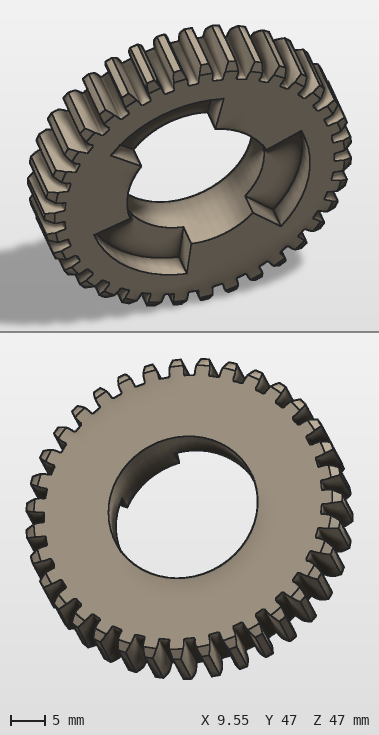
import cadquery as cq
import math


TOOTH_COUNT = 35
TIP_RADIUS = 23.5
PRESSURE_ANGLE = math.radians(14.5)
DEDENDUM_FACTOR = 1.25
ROOT_FILLET = 0.3
FLANK_POINTS = 6

MODULE = 2 * TIP_RADIUS / (TOOTH_COUNT + 2)
PITCH_RADIUS = MODULE * TOOTH_COUNT / 2
BASE_RADIUS = PITCH_RADIUS * math.cos(PRESSURE_ANGLE)
ROOT_RADIUS = PITCH_RADIUS - DEDENDUM_FACTOR * MODULE
CUTTER_RADIUS = TIP_RADIUS + 0.45

FACE_WIDTH = 9.55
BORE_RADIUS = 11.1
CHAMFER_WIDTH = 0.75
CHAMFER_ANGLE = math.radians(60)
CHAMFER_HEIGHT = CHAMFER_WIDTH * math.tan(CHAMFER_ANGLE)

POCKET_COUNT = 3
POCKET_DEPTH = 3.75
POCKET_OUTER_RADIUS = 16.9
JAW_ANGLE = 54.0
JAW_START = -96.6
POCKET_ANGLE = 360 / POCKET_COUNT - JAW_ANGLE
FIRST_POCKET_CENTRE = JAW_START + JAW_ANGLE + POCKET_ANGLE / 2


def polar(radius, angle):
    """Point in the YZ plane, with the angle in radians from +Y towards +Z."""
    return radius * math.cos(angle), radius * math.sin(angle)


def involute(angle):
    return math.tan(angle) - angle


def half_gap_angle(radius):
    """Half the angle spanned by a tooth gap at a radius on the involute."""
    roll = involute(math.acos(BASE_RADIUS / radius)) - involute(PRESSURE_ANGLE)
    return math.pi / (2 * TOOTH_COUNT) + roll


def make_blank():
    """Bored disc with both outer rims chamfered."""
    half = FACE_WIDTH / 2
    profile = (
        cq.Workplane("XY")
        .moveTo(-half, BORE_RADIUS)
        .lineTo(-half, TIP_RADIUS - CHAMFER_HEIGHT)
        .lineTo(-half + CHAMFER_WIDTH, TIP_RADIUS)
        .lineTo(half - CHAMFER_WIDTH, TIP_RADIUS)
        .lineTo(half, TIP_RADIUS - CHAMFER_HEIGHT)
        .lineTo(half, BORE_RADIUS)
        .close()
    )
    return profile.revolve(360, (0, 0, 0), (1, 0, 0))


def make_gap_cutter():
    """Tooth gap centred on +Y: involute flanks carried on inward to the filleted root."""
    flank_step = (CUTTER_RADIUS - BASE_RADIUS) / (FLANK_POINTS - 1)
    radii = [BASE_RADIUS + i * flank_step for i in range(FLANK_POINTS)]
    root_angle = half_gap_angle(BASE_RADIUS)
    root_corner = polar(ROOT_RADIUS, root_angle)
    opposite_root_corner = polar(ROOT_RADIUS, -root_angle)
    flank = [polar(r, half_gap_angle(r)) for r in radii]
    opposite_flank = [polar(r, -half_gap_angle(r)) for r in reversed(radii)]
    gap = (
        cq.Workplane("YZ", origin=(-FACE_WIDTH / 2, 0, 0))
        .moveTo(*opposite_root_corner)
        .threePointArc((ROOT_RADIUS, 0), root_corner)
        .spline(flank, includeCurrent=True)
        .threePointArc((CUTTER_RADIUS, 0), opposite_flank[0])
        .spline(opposite_flank[1:] + [opposite_root_corner], includeCurrent=True)
        .close()
        .extrude(FACE_WIDTH)
    )
    return gap.edges("|X").edges("<Y").fillet(ROOT_FILLET)


def make_pocket_cutter():
    """Sector centred on +Y, as deep as a pocket and reaching inward past the bore."""
    half = math.radians(POCKET_ANGLE / 2)
    return (
        cq.Workplane("YZ", origin=(FACE_WIDTH / 2 - POCKET_DEPTH, 0, 0))
        .lineTo(*polar(POCKET_OUTER_RADIUS, -half))
        .threePointArc((POCKET_OUTER_RADIUS, 0), polar(POCKET_OUTER_RADIUS, half))
        .close()
        .extrude(POCKET_DEPTH)
    )


def cut_around(body, cutter, count, first_angle=0.0):
    """Cut equally spaced copies of a cutter, turned about the X axis."""
    angles = [first_angle + i * 360 / count for i in range(count)]
    copies = [cutter.rotate((0, 0, 0), (1, 0, 0), angle).val() for angle in angles]
    return body.cut(cq.Workplane(cq.Compound.makeCompound(copies)))


gear = cut_around(make_blank(), make_gap_cutter(), TOOTH_COUNT)
result = cut_around(gear, make_pocket_cutter(), POCKET_COUNT, FIRST_POCKET_CENTRE)